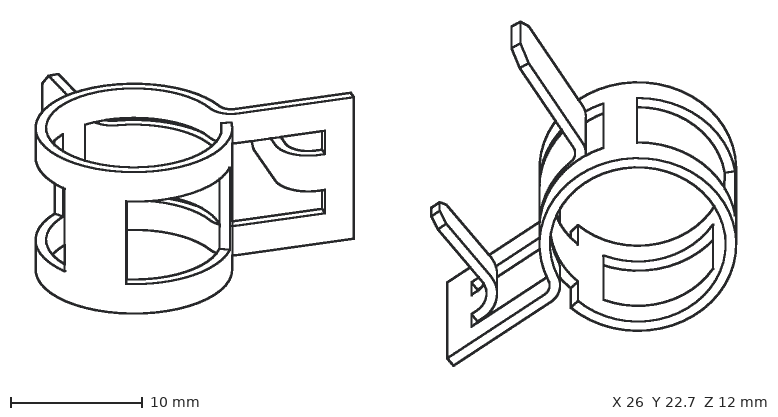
import cadquery as cq
import math


thickness = 0.8
outer_radius = 7.45
inner_radius = outer_radius - thickness
half_span = 13.0
band_width = 12.0

window_width = 7.0
tongue_width = 5.88
tab_width = 3.05
cut_margin = 0.25

end_bridge_arc = 20.0
front_bridge_arc = 40.0
band_end = 31.7
lower_window_top = band_end - end_bridge_arc
lower_window_bottom = -90 + front_bridge_arc / 2

ear_bend_at = 54.0
ear_bend_radius = 1.0
ear_slope = 42.0
ear_rim = 2.3
tongue_chamfer = 1.22

tab_stub = 0.52
tab_bend_radius = 1.82
tab_leg = 6.4
tab_chamfer = 0.83

bend_centre_radius = outer_radius + ear_bend_radius
bend_centre_x = bend_centre_radius * math.cos(math.radians(ear_bend_at))
bend_centre_y = bend_centre_radius * math.sin(math.radians(ear_bend_at))
ear_start_x = bend_centre_x + (ear_bend_radius + thickness) * math.sin(math.radians(ear_slope))
ear_start_y = bend_centre_y - (ear_bend_radius + thickness) * math.cos(math.radians(ear_slope))
ear_length = (half_span - ear_start_x) / math.cos(math.radians(ear_slope))
window_length = ear_length - ear_rim


def curved_strip(inside_radius, start, end, width, margin=0.0):
    """Strip curved about the Z axis from start to end degrees, with margin added to both faces."""

    def at(radius, angle):
        turn = math.radians(angle)
        return (radius * math.cos(turn), radius * math.sin(turn))

    inner = inside_radius - margin
    outer = inside_radius + thickness + margin
    middle = (start + end) / 2
    return (
        cq.Workplane("XY", origin=(0, 0, -width / 2))
        .moveTo(*at(outer, start))
        .threePointArc(at(outer, middle), at(outer, end))
        .lineTo(*at(inner, end))
        .threePointArc(at(inner, middle), at(inner, start))
        .close()
        .extrude(width)
    )


def flat_strip(length, width, tip_chamfer=0.0, margin=0.0):
    """Flat strip along +X from Y = 0 to Y = thickness, with margin added to both faces."""
    strip = cq.Workplane("XY").box(length, thickness + 2 * margin, width, centered=(False, False, True))
    if tip_chamfer:
        strip = strip.edges(">X and |Y").chamfer(tip_chamfer)
    return strip.translate((0, -margin, 0))


def place_on_ear(shape):
    """Move a shape from the frame of a flat ear to the ear on the +X side."""
    return shape.rotate((0, 0, 0), (0, 0, 1), ear_slope).translate((ear_start_x, ear_start_y, 0))


def eared_strip(width, ring_end, flat_length, tip_chamfer=0.0, margin=0.0):
    """Ring arc from the ear bend round to ring_end, with the bend and the flat ear on the +X side."""
    ring = curved_strip(inner_radius, ear_bend_at, ring_end, width, margin)
    bend = curved_strip(ear_bend_radius, 180 + ear_bend_at, 270 + ear_slope, width, margin)
    bend = bend.translate((bend_centre_x, bend_centre_y, 0))
    ear = place_on_ear(flat_strip(flat_length, width, tip_chamfer, margin))
    return ring.union(bend).union(ear)


def wide_band():
    """Full-width band with the long upper window and the two lower windows."""
    band = eared_strip(band_width, 360 + band_end, ear_length)
    upper_window = eared_strip(window_width, 180 - band_end, window_length, margin=cut_margin)
    band = band.cut(upper_window)
    for start, end in (
        (lower_window_bottom, lower_window_top),
        (180 - lower_window_top, 180 - lower_window_bottom),
    ):
        band = band.cut(curved_strip(inner_radius, start, end, window_width, cut_margin))
    return band


def tongue():
    """Narrow strip from the band end, through the window, to the ear on the -X side."""
    return eared_strip(tongue_width, 180 - band_end, ear_length, tongue_chamfer).mirror("YZ")


def stop_tab():
    """Tab folded out of the wide ear, built in the frame of the flat ear."""
    bend_x = window_length - tab_stub
    stub = flat_strip(tab_stub, tab_width).translate((bend_x, 0, 0))
    bend = curved_strip(tab_bend_radius, 180, 270, tab_width)
    bend = bend.translate((bend_x, tab_bend_radius + thickness, 0))
    leg = flat_strip(tab_leg, tab_width, tab_chamfer).rotate((0, 0, 0), (0, 0, 1), 90)
    leg = leg.translate((bend_x - tab_bend_radius, tab_bend_radius + thickness, 0))
    return place_on_ear(stub.union(bend).union(leg))


result = wide_band().union(stop_tab()).union(tongue(), clean=False)